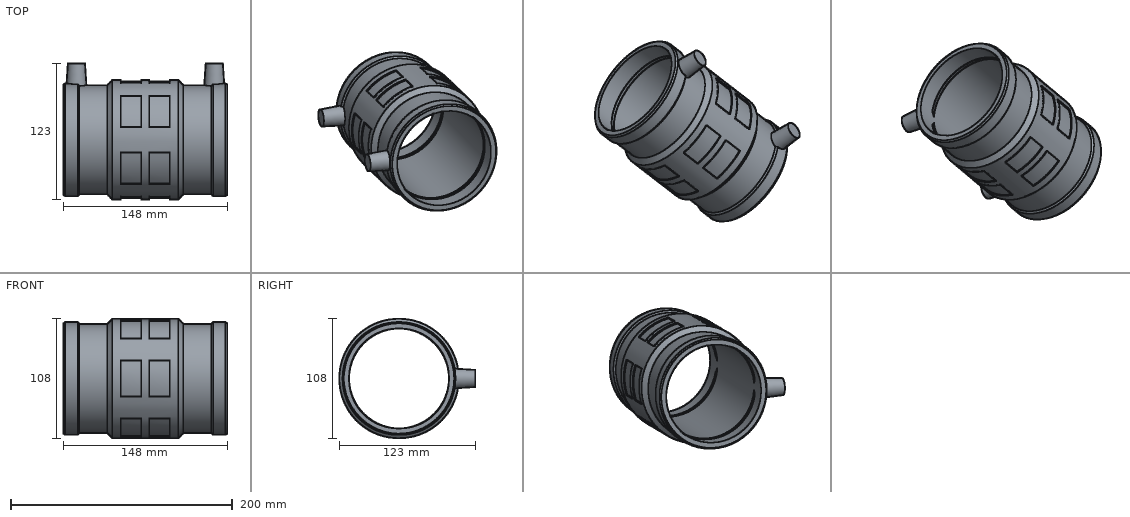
import cadquery as cq

length = 148.0
half_length = length / 2

end_diameter = 99.5
collar_diameter = 102.0
neck_diameter = 98.5
body_diameter = 108.0

end_chamfer_length = 1.8
collar_edge = 12.9
neck_start = 14.5
neck_end = 39.7
body_start = 44.3

bore_diameter = 90.0
groove_diameter = 90.9
groove_start = 17.5
groove_width = 3.1

pocket_count = 6
pocket_angle = 35.2
pocket_length = 18.6
pocket_gap = 7.0
pocket_depth = 1.0

terminal_inset = 11.8
terminal_tip_diameter = 15.7
terminal_base_diameter = 19.1
terminal_base_y = 42.9
terminal_tip_y = 69.0


def cylinder(diameter, width, center_x):
    """Solid cylinder along X, centred at the given station."""
    return cq.Workplane("YZ", origin=(center_x, 0, 0)).circle(diameter / 2).extrude(width / 2, both=True)


def make_sleeve():
    """Revolve the stepped outside, symmetric about the middle of the sleeve."""
    left_profile = [
        (-half_length, end_diameter / 2),
        (-half_length + end_chamfer_length, collar_diameter / 2),
        (-half_length + collar_edge, collar_diameter / 2),
        (-half_length + neck_start, neck_diameter / 2),
        (-half_length + neck_end, neck_diameter / 2),
        (-half_length + body_start, body_diameter / 2),
    ]
    right_profile = [(-x, radius) for x, radius in reversed(left_profile)]
    outline = [(-half_length, 0)] + left_profile + right_profile + [(half_length, 0)]
    return cq.Workplane("XY").polyline(outline).close().revolve(360, (0, 0, 0), (1, 0, 0))


def make_pocket_ring(center_x):
    """Ring of radial-sided cutters, the first centred on -Y."""
    floor_radius = body_diameter / 2 - pocket_depth
    cutter_radius = body_diameter / 2 + pocket_depth
    sector = (
        cq.Workplane("XY")
        .center(center_x, 0)
        .moveTo(-pocket_length / 2, -cutter_radius)
        .lineTo(pocket_length / 2, -cutter_radius)
        .lineTo(pocket_length / 2, -floor_radius)
        .lineTo(-pocket_length / 2, -floor_radius)
        .close()
        .revolve(pocket_angle, (0, 0, 0), (1, 0, 0))
        .rotate((0, 0, 0), (1, 0, 0), -pocket_angle / 2)
    )
    ring = cq.Workplane("XY")
    for index in range(pocket_count):
        ring = ring.add(sector.rotate((0, 0, 0), (1, 0, 0), index * 360 / pocket_count))
    return ring.combine()


def make_terminal(center_x):
    """Tapered peg pointing along +Y, rooted through the sleeve wall."""
    profile = [
        (center_x, terminal_base_y),
        (center_x + terminal_base_diameter / 2, terminal_base_y),
        (center_x + terminal_tip_diameter / 2, terminal_tip_y),
        (center_x, terminal_tip_y),
    ]
    return (
        cq.Workplane("XY")
        .polyline(profile)
        .close()
        .revolve(360, (center_x, 0, 0), (center_x, 1, 0))
    )


result = make_sleeve()

for side in (-1, 1):
    pocket_x = side * (pocket_gap + pocket_length) / 2
    groove_x = side * (half_length - groove_start - groove_width / 2)
    terminal_x = side * (half_length - terminal_inset)
    result = result.cut(make_pocket_ring(pocket_x))
    result = result.cut(cylinder(groove_diameter, groove_width, groove_x))
    result = result.union(make_terminal(terminal_x))

result = result.cut(cylinder(bore_diameter, length, 0))